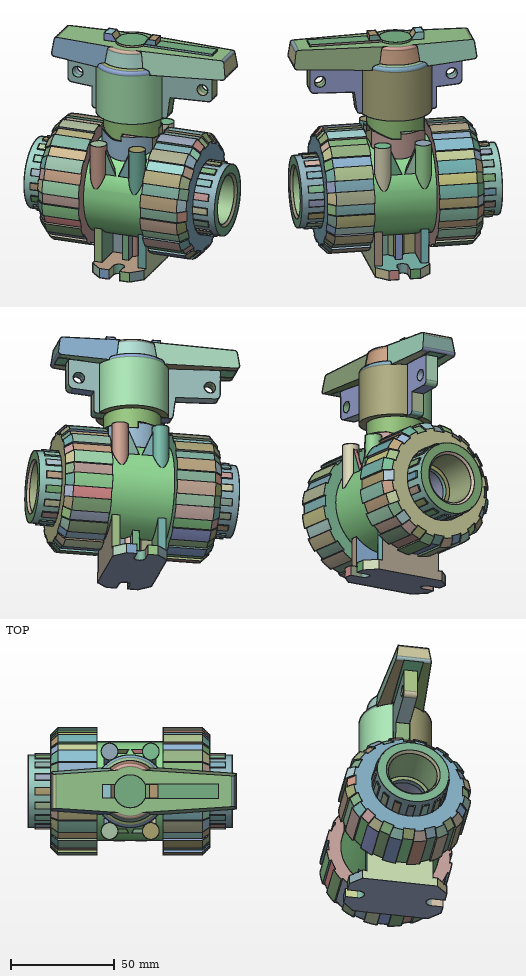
import cadquery as cq
import math


MARGIN = 1.0

BARREL_R = 24.0
BARREL_HALF = 27.0
BORE_R = 10.0

NUT_INNER_X = 16.0
NUT_OUTER_X = 38.6
NUT_R = 31.0
NUT_CHAMFER = 3.65
NUT_BORE_R = 18.5
GROOVE_COUNT = 16
GROOVE_WIDTH = 5.45
GROOVE_DEPTH = 1.1

CONNECTOR_END_X = 49.5
CONNECTOR_R = 35.3 / 2
SOCKET_R = 24.12 / 2
SOCKET_DEPTH = 20.0
SOCKET_CHAMFER = 1.2
RIB_COUNT = 16
RIB_R = 36.7 / 2
RIB_WIDTH = 3.5
RIB_END_X = 46.1

STEM_R = 14.85
STEM_FLAT_X = 13.15
STEM_TOP_Z = 31.6
NECK_R = 14.0
CAM_HIGH_Z = 32.5
CAM_LOW_Z = 29.0
CAM_SLOPE = 0.37
CAM_STEPS = 4

POST_R = 8.1 / 2
POST_X = 10.0
POST_Y = 19.25
POST_TOP_Z = 28.0
GUSSET_THICK = 2.0
GUSSET_TOP_RUN = 2.7
GUSSET_LEAN = 23.7
GUSSET_FOOT_Z = 8.0
GUSSET_SIDE_X = 11.6

FOOT_HALF_X = 13.4
FOOT_HALF_Y = 24.0
FOOT_BOTTOM_Z = -40.0
FOOT_THICK = 4.9
FOOT_CHAMFER = 5.6
FOOT_SLOT_WIDTH = 5.5
FOOT_SLOT_Y = 18.0
CHEEK_THICK = 4.0
CHEEK_HALF_Y = 16.3
FOOT_RIB_THICK = 3.3
FOOT_RIB_HALF_Y = 9.1
FOOT_BOSS_R = 4.3

SKIRT_R = 35.3 / 2
SKIRT_BOTTOM_Z = 39.5
SHOULDER_TOP_Z = 67.4
SHOULDER_SLOPE = 25.0
SHOULDER_FILLET = 2.2
DOME_BASE_R = 14.9
DOME_TOP_R = 13.3
DOME_FILLET = 1.6
GRIP_TOP_Z = 75.7
GRIP_BASE_Z = 63.7
GRIP_END_Z = 66.15
GRIP_LEFT_X = -38.6
GRIP_TIP_LOSS = 0.21
GRIP_RIGHT_REACH = 51.5
GRIP_RIGHT_X = GRIP_RIGHT_REACH + GRIP_TIP_LOSS
GRIP_LEFT_HALF_Y = 9.75
GRIP_MID_HALF_Y = 12.35
GRIP_RIGHT_HALF_Y = 8.95
GRIP_DRAFT = 8.0
GRIP_END_FILLET = 1.5

WEB_THICK = 6.7
WEB_LEFT_X = -32.2
WEB_RIGHT_X = 42.9
WEB_END_Z = 51.5
WEB_STEP_Z = 50.6
WEB_STEP_LEFT_X = -19.65
WEB_STEP_RIGHT_X = 20.9
WEB_FOOT_RIGHT_X = 19.4
WEB_END_FILLET = 2.3
WEB_FOOT_FILLET = 1.5
WEB_HOLE_R = 5.5 / 2
WEB_HOLE_Z = 57.1
WEB_HOLES_X = (-27.1, 37.8)
SLOT_WIDTH = 8.3
SLOT_TOP_Z = 66.2
GRIP_CHANNEL_WIDTH = 9.6
NECK_TOP_Z = 50.4

DISC_R = 8.0
RAISED = 1.0
STRIP_HALF_Y = 3.6
TAB_TOP_Z = 79.43
TAB_OUTER_X = 13.4
TAB_TOP_INNER_X = 9.3
TAB_INNER_X = 7.5


def x_cylinder(radius, x_start, x_end):
    return cq.Workplane("YZ").workplane(offset=x_start).circle(radius).extrude(x_end - x_start)


def z_cylinder(radius, z_start, z_end):
    return cq.Workplane("XY").workplane(offset=z_start).circle(radius).extrude(z_end - z_start)


def block(x_start, x_end, y_start, y_end, z_start, z_end):
    size = (x_end - x_start, y_end - y_start, z_end - z_start)
    return cq.Workplane("XY").box(*size, centered=False).translate((x_start, y_start, z_start))


def xz_plate(points, thickness):
    """Plate with the given XZ outline, centred on y = 0."""
    return cq.Workplane("XZ").polyline(points).close().extrude(thickness / 2, both=True)


def cam_blocks():
    """Material below the cam: in each quadrant a tilted plane falls to a flat, then steps up."""
    reach = STEM_R + MARGIN
    profile = [
        (-reach, 0),
        (-reach, CAM_HIGH_Z + CAM_SLOPE * (reach - NECK_R)),
        (-NECK_R + (CAM_HIGH_Z - CAM_LOW_Z) / CAM_SLOPE, CAM_LOW_Z),
        (0, CAM_LOW_Z),
        (0, 0),
    ]
    quadrant = cq.Workplane("XZ").polyline(profile).close().extrude(reach)
    blocks = quadrant
    for step in range(1, CAM_STEPS):
        blocks = blocks.union(quadrant.rotate((0, 0, 0), (0, 0, 1), step * 360 / CAM_STEPS))
    return blocks


def stem_collar():
    """Flatted collar around the stem, its top cut to the cam."""
    collar = z_cylinder(STEM_R, 0, STEM_TOP_Z)
    flats = block(-STEM_FLAT_X, STEM_FLAT_X, -STEM_R, STEM_R, 0, STEM_TOP_Z)
    return collar.intersect(flats).intersect(cam_blocks())


def gusset():
    """Triangular web standing on its post axis at x = 0 and leaning out towards +X."""
    foot_run = GUSSET_TOP_RUN + (POST_TOP_Z - GUSSET_FOOT_Z) * math.tan(math.radians(GUSSET_LEAN))
    outline = [
        (0, GUSSET_FOOT_Z),
        (foot_run, GUSSET_FOOT_Z),
        (GUSSET_TOP_RUN, POST_TOP_Z),
        (0, POST_TOP_Z),
    ]
    return xz_plate(outline, GUSSET_THICK)


def post_corner():
    """Post and its two gussets in the -X, -Y corner."""
    post = z_cylinder(POST_R, 0, POST_TOP_Z).translate((-POST_X, -POST_Y, 0))
    lengthwise = gusset().translate((-POST_X, -POST_Y, 0))
    crosswise = gusset().rotate((0, 0, 0), (0, 0, 1), 90).translate((-GUSSET_SIDE_X, -POST_Y, 0))
    return post.union(lengthwise).union(crosswise)


def foot():
    """Slotted foot plate carried by two cheeks, a cross of ribs and a boss."""
    plate_top = FOOT_BOTTOM_Z + FOOT_THICK
    plate = block(-FOOT_HALF_X, FOOT_HALF_X, -FOOT_HALF_Y, FOOT_HALF_Y, FOOT_BOTTOM_Z, plate_top)
    plate = plate.edges("|Z").chamfer(FOOT_CHAMFER)
    half_slot = FOOT_SLOT_WIDTH / 2
    half_rib = FOOT_RIB_THICK / 2
    heights = (plate_top, -BORE_R - MARGIN)
    boss = z_cylinder(FOOT_BOSS_R, *heights)
    rib = block(-half_rib, half_rib, -FOOT_RIB_HALF_Y, FOOT_RIB_HALF_Y, *heights)
    wall = block(-FOOT_HALF_X, FOOT_HALF_X, -half_rib, half_rib, *heights)
    supports = boss.union(rib).union(wall)
    for side in (-1, 1):
        round_end = z_cylinder(half_slot, FOOT_BOTTOM_Z, plate_top).translate((0, side * FOOT_SLOT_Y, 0))
        y_ends = sorted((side * FOOT_SLOT_Y, side * FOOT_HALF_Y))
        plate = plate.cut(round_end).cut(block(-half_slot, half_slot, *y_ends, FOOT_BOTTOM_Z, plate_top))
        x_ends = sorted((side * FOOT_HALF_X, side * (FOOT_HALF_X - CHEEK_THICK)))
        supports = supports.union(block(*x_ends, -CHEEK_HALF_Y, CHEEK_HALF_Y, *heights))
    return plate.union(supports)


def make_housing():
    body = x_cylinder(BARREL_R, -BARREL_HALF, BARREL_HALF).union(stem_collar()).union(foot())
    corner = post_corner()
    for piece in (corner, corner.mirror("YZ"), corner.mirror("XZ"), corner.mirror("XZ").mirror("YZ")):
        body = body.union(piece)
    return body.cut(x_cylinder(BORE_R, -BARREL_HALF, BARREL_HALF))


def nut_blank(radius):
    blank = x_cylinder(radius, NUT_INNER_X, NUT_OUTER_X)
    return blank.faces(">X").edges().chamfer(NUT_CHAMFER)


def make_nut():
    nut = nut_blank(NUT_R)
    half_width = GROOVE_WIDTH / 2
    sector = block(NUT_INNER_X, NUT_OUTER_X, -half_width, half_width, BARREL_R, NUT_R + MARGIN)
    groove = sector.cut(nut_blank(NUT_R - GROOVE_DEPTH))
    for index in range(GROOVE_COUNT):
        nut = nut.cut(groove.rotate((0, 0, 0), (1, 0, 0), index * 360 / GROOVE_COUNT))
    nut = nut.cut(x_cylinder(BARREL_R, NUT_INNER_X, BARREL_HALF))
    return nut.cut(x_cylinder(NUT_BORE_R, BARREL_HALF, NUT_OUTER_X))


def make_connector():
    tube = x_cylinder(CONNECTOR_R, BARREL_HALF, CONNECTOR_END_X)
    half_width = RIB_WIDTH / 2
    bar = block(BARREL_HALF, RIB_END_X, -half_width, half_width, SOCKET_R + MARGIN, RIB_R + MARGIN)
    rib = bar.intersect(x_cylinder(RIB_R, BARREL_HALF, RIB_END_X))
    for index in range(RIB_COUNT):
        tube = tube.union(rib.rotate((0, 0, 0), (1, 0, 0), index * 360 / RIB_COUNT))
    tube = tube.cut(x_cylinder(BORE_R, BARREL_HALF, CONNECTOR_END_X))
    tube = tube.cut(x_cylinder(SOCKET_R, CONNECTOR_END_X - SOCKET_DEPTH, CONNECTOR_END_X))
    return tube.faces(">X").edges("%CIRCLE").edges(cq.selectors.RadiusNthSelector(0)).chamfer(SOCKET_CHAMFER)


def grip():
    """Long drafted bar, widest at the stem, with an underside rising towards both ends."""
    draft_shift = (GRIP_END_Z - GRIP_BASE_Z) * math.tan(math.radians(GRIP_DRAFT))
    left_x = GRIP_LEFT_X - draft_shift
    right_x = GRIP_RIGHT_X + draft_shift
    outline = [
        (left_x, -GRIP_LEFT_HALF_Y),
        (0, -GRIP_MID_HALF_Y),
        (right_x, -GRIP_RIGHT_HALF_Y),
        (right_x, GRIP_RIGHT_HALF_Y),
        (0, GRIP_MID_HALF_Y),
        (left_x, GRIP_LEFT_HALF_Y),
    ]
    bar = cq.Workplane("XY").workplane(offset=GRIP_BASE_Z).polyline(outline).close()
    bar = bar.extrude(GRIP_TOP_Z - GRIP_BASE_Z, taper=GRIP_DRAFT)
    bar = bar.faces(">Z").edges("|Y").fillet(GRIP_END_FILLET)
    side = [
        (0, GRIP_BASE_Z),
        (GRIP_RIGHT_X, GRIP_END_Z),
        (GRIP_RIGHT_X, GRIP_TOP_Z),
        (GRIP_LEFT_X, GRIP_TOP_Z),
        (GRIP_LEFT_X, GRIP_END_Z),
    ]
    bar = bar.intersect(xz_plate(side, 4 * GRIP_MID_HALF_Y))
    for x in (GRIP_LEFT_X, GRIP_RIGHT_X):
        bar = bar.edges(cq.NearestToPointSelector((x, 0, GRIP_END_Z))).fillet(GRIP_END_FILLET)
    return bar


def dome():
    """Drafted hub rising from the shoulder to the top of the grip."""
    profile = [
        (0, GRIP_BASE_Z),
        (DOME_BASE_R, GRIP_BASE_Z),
        (DOME_BASE_R, SHOULDER_TOP_Z),
        (DOME_TOP_R, GRIP_TOP_Z),
        (0, GRIP_TOP_Z),
    ]
    cone = cq.Workplane("XZ").polyline(profile).close().revolve(360, (0, 0, 0), (0, 1, 0))
    return cone.faces(">Z").edges().fillet(DOME_FILLET)


def skirt():
    """Sleeve with a rounded, sloping shoulder."""
    edge_z = SHOULDER_TOP_Z - (SKIRT_R - DOME_BASE_R) * math.tan(math.radians(SHOULDER_SLOPE))
    profile = [
        (0, SKIRT_BOTTOM_Z),
        (SKIRT_R, SKIRT_BOTTOM_Z),
        (SKIRT_R, edge_z),
        (DOME_BASE_R, SHOULDER_TOP_Z),
        (0, SHOULDER_TOP_Z),
    ]
    sleeve = cq.Workplane("XZ").polyline(profile).close().revolve(360, (0, 0, 0), (0, 1, 0))
    return sleeve.edges("%CIRCLE").edges(">>Z[-2]").fillet(SHOULDER_FILLET)


def web():
    """Upright plate under the grip, with a hole near each end."""
    web_top = SLOT_TOP_Z + MARGIN
    outline = [
        (WEB_LEFT_X, web_top),
        (WEB_LEFT_X, WEB_END_Z),
        (WEB_STEP_LEFT_X, WEB_STEP_Z),
        (WEB_STEP_LEFT_X, SKIRT_BOTTOM_Z),
        (WEB_FOOT_RIGHT_X, SKIRT_BOTTOM_Z),
        (WEB_STEP_RIGHT_X, WEB_STEP_Z),
        (WEB_RIGHT_X, WEB_END_Z),
        (WEB_RIGHT_X, web_top),
    ]
    plate = xz_plate(outline, WEB_THICK)
    for x, z, radius in (
        (WEB_LEFT_X, WEB_END_Z, WEB_END_FILLET),
        (WEB_RIGHT_X, WEB_END_Z, WEB_END_FILLET),
        (WEB_STEP_LEFT_X, SKIRT_BOTTOM_Z, WEB_FOOT_FILLET),
        (WEB_FOOT_RIGHT_X, SKIRT_BOTTOM_Z, WEB_FOOT_FILLET),
    ):
        plate = plate.edges(cq.NearestToPointSelector((x, 0, z))).fillet(radius)
    holes = cq.Workplane("XZ").pushPoints([(x, WEB_HOLE_Z) for x in WEB_HOLES_X])
    return plate.cut(holes.circle(WEB_HOLE_R).extrude(WEB_THICK, both=True))


def top_marks():
    """Disc, strip and two stop tabs raised on the top of the grip."""
    raised_z = GRIP_TOP_Z + RAISED
    marks = z_cylinder(DISC_R, GRIP_TOP_Z, raised_z)
    marks = marks.union(block(0, WEB_RIGHT_X, -STRIP_HALF_Y, STRIP_HALF_Y, GRIP_TOP_Z, raised_z))
    outline = [
        (TAB_INNER_X, GRIP_TOP_Z),
        (TAB_OUTER_X, GRIP_TOP_Z),
        (TAB_OUTER_X, TAB_TOP_Z),
        (TAB_TOP_INNER_X, TAB_TOP_Z),
        (TAB_INNER_X, raised_z),
    ]
    tab = xz_plate(outline, WEB_THICK)
    return marks.union(tab).union(tab.mirror("YZ"))


def make_handle():
    neck = z_cylinder(NECK_R, CAM_LOW_Z, NECK_TOP_Z).cut(cam_blocks())
    half_channel = GRIP_CHANNEL_WIDTH / 2
    channel = block(GRIP_LEFT_X, GRIP_RIGHT_X, -half_channel, half_channel, NECK_TOP_Z, SLOT_TOP_Z)
    half_slot = SLOT_WIDTH / 2
    slot = block(-SKIRT_R, SKIRT_R, -half_slot, half_slot, SKIRT_BOTTOM_Z, SLOT_TOP_Z)
    handle = grip().cut(channel).union(dome()).union(skirt()).cut(slot)
    return handle.union(neck).union(web()).union(top_marks())


housing = make_housing()
nut = make_nut()
connector = make_connector()
handle = make_handle()

nuts = [nut, nut.mirror("YZ")]
connectors = [connector, connector.mirror("YZ")]

bodies = [housing, handle, *nuts, *connectors]
result = cq.Compound.makeCompound([body.val() for body in bodies])